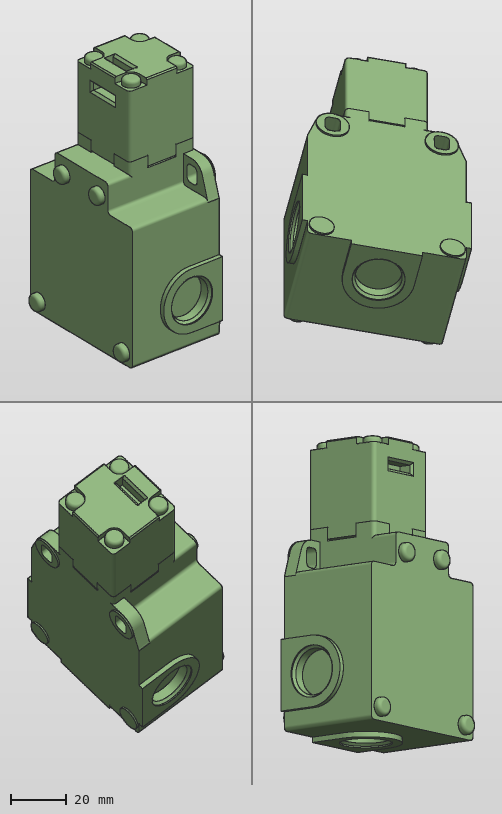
import cadquery as cq
import math


body_width = 58.0
body_depth = 39.9
boss_height = 2.0
body_bottom = boss_height
shoulder_z = 59.3
neck_top = 71.9
edge_radius = 1.5

head_size = 30.2
head_center_y = -head_size / 2
head_top = 108.5
head_gap = 0.7
tongue_width = 13.0
post_top = 76.9
head_top_chamfer = 0.5

screw_radius = 3.5
screw_height = 2.7
screw_rounding = 1.4
upper_screw_x, upper_screw_z = 10.0, 65.0
lower_screw_x, lower_screw_z = 24.0, 6.9
head_screw_offset = 10.5

recess_depth = screw_height
recess_inner = 6.9
recess_radius = 3.6

entry_radius = 13.0
entry_y = -14.1
entry_z = 21.9
entry_hole_radius = 8.5
entry_lip_depth = 0.5
entry_hole_chamfer = 1.0
entry_hole_depth = 5.3

ear_x, ear_z = 20.0, 65.8
ear_radius = neck_top - ear_z
ear_thickness = 5.2
ear_foot_z = 57.9
ear_overlap = 2.2
ear_slot_width = 5.5
ear_slot_height = 7.4
ear_slot_corner = 1.7
ear_slot_z = 65.5
pad_height = 0.7
ear_pad_radius = 6.1
lower_pad_radius = 4.6

slot_width = 12.6
slot_height = 3.0
slot_bevel = 1.0
slot_depth = 5.4
front_slot_z = 98.6
top_slot_y = -21.8


def head_section(bottom, top):
    """Square column with the rounded outline of the head."""
    return (
        cq.Workplane("XY", origin=(0, head_center_y, bottom))
        .rect(head_size, head_size)
        .extrude(top - bottom)
        .edges("|Z")
        .fillet(edge_radius)
    )


def cross_cutter(bottom, top):
    """Cross of two bars that leaves only the four corners of the head."""
    bar_length = 2 * head_size
    base = cq.Workplane("XY", origin=(0, head_center_y, bottom))
    along_x = base.rect(bar_length, tongue_width).extrude(top - bottom)
    along_y = base.rect(tongue_width, bar_length).extrude(top - bottom)
    return along_x.union(along_y)


def screw_head(plane):
    """Screw head with a rounded rim, standing on the plane."""
    return (
        cq.Workplane(plane)
        .circle(screw_radius)
        .extrude(screw_height)
        .faces(cq.selectors.DirectionMinMaxSelector(plane.zDir, True))
        .edges()
        .fillet(screw_rounding)
    )


def housing_block():
    """Wide lower block with a narrower neck, as one stepped outline."""
    half_body = body_width / 2
    half_neck = head_size / 2
    return (
        cq.Workplane("XZ")
        .moveTo(-half_body, body_bottom)
        .lineTo(half_body, body_bottom)
        .lineTo(half_body, shoulder_z)
        .lineTo(half_neck, shoulder_z)
        .lineTo(half_neck, neck_top)
        .lineTo(-half_neck, neck_top)
        .lineTo(-half_neck, shoulder_z)
        .lineTo(-half_body, shoulder_z)
        .close()
        .extrude(body_depth)
        .edges("|Y")
        .fillet(edge_radius)
    )


def head_seat():
    """Square end of the neck under the head, with the four corner posts."""
    seat = head_section(shoulder_z, neck_top)
    posts = head_section(neck_top, post_top).cut(cross_cutter(neck_top, post_top))
    return seat.union(posts)


def ear():
    """Right mounting ear: its rounded corner runs tangent into the slanted side."""
    foot_x = body_width / 2
    inner_x = head_size / 2 - ear_overlap
    foot_distance = math.hypot(foot_x - ear_x, ear_foot_z - ear_z)
    tangent_angle = math.atan2(ear_foot_z - ear_z, foot_x - ear_x) + math.acos(ear_radius / foot_distance)

    def on_corner(angle):
        return (ear_x + ear_radius * math.cos(angle), ear_z + ear_radius * math.sin(angle))

    top_angle = math.pi / 2
    return (
        cq.Workplane("XZ")
        .moveTo(inner_x, ear_foot_z)
        .lineTo(foot_x, ear_foot_z)
        .lineTo(*on_corner(tangent_angle))
        .threePointArc(on_corner((tangent_angle + top_angle) / 2), on_corner(top_angle))
        .lineTo(inner_x, neck_top)
        .close()
        .extrude(ear_thickness)
    )


def ear_slot(x):
    """Round-cornered slot through the ear and its pad."""
    return (
        cq.Workplane("XZ", origin=(x, pad_height, ear_slot_z))
        .rect(ear_slot_width, ear_slot_height)
        .extrude(ear_thickness + pad_height)
        .edges("|Y")
        .fillet(ear_slot_corner)
    )


def back_pad(x, z, radius):
    """Thin round pad on the back face."""
    return cq.Workplane("XZ", origin=(x, 0, z)).circle(radius).extrude(-pad_height)


def entry_planes():
    """Planes on the left, right and lower faces: normal outwards, local x towards -Y."""
    half_body = body_width / 2
    places = [
        ((-half_body, 0, entry_z), (-1, 0, 0)),
        ((half_body, 0, entry_z), (1, 0, 0)),
        ((0, 0, body_bottom), (0, 0, -1)),
    ]
    return [cq.Plane(origin=origin, xDir=(0, -1, 0), normal=normal) for origin, normal in places]


def entry_boss(plane):
    """U-shaped boss that reaches from the back face to a half round."""
    center = -entry_y
    return (
        cq.Workplane(plane)
        .moveTo(0, -entry_radius)
        .lineTo(center, -entry_radius)
        .threePointArc((center + entry_radius, 0), (center, entry_radius))
        .lineTo(0, entry_radius)
        .close()
        .extrude(boss_height)
    )


def entry_hole(plane):
    """Blind hole with a short wide lip at its mouth and a cone down to the bore."""
    lip_radius = entry_hole_radius + entry_hole_chamfer
    mouth = cq.Workplane(plane).workplane(offset=boss_height).center(-entry_y, 0)
    lip = mouth.circle(lip_radius).extrude(-entry_lip_depth)
    cone = (
        mouth.workplane(offset=-entry_lip_depth)
        .circle(lip_radius)
        .workplane(offset=-entry_hole_chamfer)
        .circle(entry_hole_radius)
        .loft(ruled=True)
    )
    bore = mouth.circle(entry_hole_radius).extrude(-entry_hole_depth)
    return lip.union(cone).union(bore)


def make_housing():
    housing = housing_block().union(head_seat())

    right_ear = ear()
    housing = housing.union(right_ear).union(right_ear.mirror("YZ"))

    front = cq.Plane(origin=(0, -body_depth, 0), xDir=(1, 0, 0), normal=(0, -1, 0))
    screw = screw_head(front)
    for side in (-1, 1):
        housing = housing.union(back_pad(side * ear_x, ear_slot_z, ear_pad_radius))
        housing = housing.union(back_pad(side * lower_screw_x, lower_screw_z, lower_pad_radius))
        housing = housing.cut(ear_slot(side * ear_x))
        housing = housing.union(screw.translate((side * upper_screw_x, 0, upper_screw_z)))
        housing = housing.union(screw.translate((side * lower_screw_x, 0, lower_screw_z)))

    for plane in entry_planes():
        housing = housing.union(entry_boss(plane)).cut(entry_hole(plane))
    return housing


def front_slot():
    """Slot in the front of the head, bevelled on all four sides."""
    mouth = cq.Workplane("XZ", origin=(0, -head_size, front_slot_z))
    funnel = (
        mouth.rect(slot_width + 2 * slot_bevel, slot_height + 2 * slot_bevel)
        .workplane(offset=-slot_bevel)
        .rect(slot_width, slot_height)
        .loft(ruled=True)
    )
    return funnel.union(mouth.rect(slot_width, slot_height).extrude(-slot_depth))


def top_slot():
    """Slot in the top of the head, bevelled on its two long sides only."""
    half_mouth = slot_height / 2 + slot_bevel
    half_slot = slot_height / 2
    return (
        cq.Workplane("YZ", origin=(0, top_slot_y, head_top))
        .moveTo(-half_mouth, 0)
        .lineTo(-half_slot, -slot_bevel)
        .lineTo(-half_slot, -slot_depth)
        .lineTo(half_slot, -slot_depth)
        .lineTo(half_slot, -slot_bevel)
        .lineTo(half_mouth, 0)
        .close()
        .extrude(slot_width / 2, both=True)
    )


def corner_recess(side_x, side_y):
    """Open corner step with a rounded inner corner."""
    size = head_size / 2
    center = recess_inner + size / 2
    inner_edge = f"|Z and {'<' if side_x > 0 else '>'}X and {'<' if side_y > 0 else '>'}Y"
    place = (side_x * center, head_center_y + side_y * center, head_top - recess_depth)
    return (
        cq.Workplane("XY", origin=place)
        .rect(size, size)
        .extrude(recess_depth)
        .edges(inner_edge)
        .fillet(recess_radius)
    )


def make_head():
    tongue_bottom = neck_top + head_gap
    head = head_section(post_top, head_top).faces(">Z").edges().chamfer(head_top_chamfer)
    tongue = head_section(tongue_bottom, post_top).intersect(cross_cutter(tongue_bottom, post_top))
    head = head.union(tongue).cut(front_slot()).cut(top_slot())

    screw = screw_head(cq.Plane(origin=(0, head_center_y, head_top - recess_depth)))
    for side_x in (-1, 1):
        for side_y in (-1, 1):
            head = head.cut(corner_recess(side_x, side_y))
            head = head.union(screw.translate((side_x * head_screw_offset, side_y * head_screw_offset, 0)))
    return head


housing = make_housing()
head = make_head()

result = cq.Compound.makeCompound([housing.val(), head.val()])